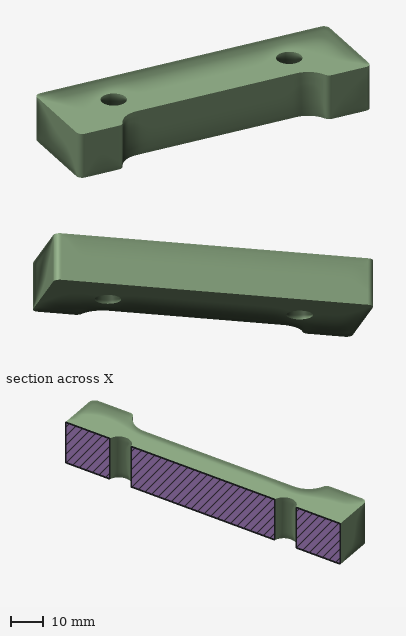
import math

import cadquery as cq

width = 30.0
length = 100.0
height = 15.0
edge_radius = 2.0

recess_depth = 6.0
recess_opening = 70.0
recess_end_radius = 8.0

hole_diameter = 8.0
hole_spacing = 60.0
hole_x = -1.0

arc_centre_x = width / 2 - recess_depth + recess_end_radius
arc_centre_beyond_side = recess_end_radius - recess_depth
arc_reach_at_side = math.sqrt(recess_end_radius**2 - arc_centre_beyond_side**2)
arc_centre_spacing = recess_opening - 2 * arc_reach_at_side


def make_block():
    return cq.Workplane("XY").box(width, length, height, centered=(True, True, False))


def cut_recess(body):
    """Cut a round-ended slot whose straight side is the recess floor."""
    slot = (
        cq.Workplane("XY")
        .center(arc_centre_x, 0)
        .slot2D(arc_centre_spacing + 2 * recess_end_radius, 2 * recess_end_radius, 90)
        .extrude(height)
    )
    return body.cut(slot)


def round_upright_edges(body):
    """Round the block corners and the two lips where the recess meets the +X side."""
    left_corners = body.edges("|Z and <X")
    right_corners_and_lips = body.edges("|Z and >X")
    return left_corners.add(right_corners_and_lips).fillet(edge_radius)


def drill_holes(body):
    hole_centres = [(hole_x, side * hole_spacing / 2) for side in (-1, 1)]
    drills = cq.Workplane("XY").pushPoints(hole_centres).circle(hole_diameter / 2).extrude(height)
    return body.cut(drills)


block = make_block()
recessed = cut_recess(block)
rounded = round_upright_edges(recessed)
result = drill_holes(rounded)